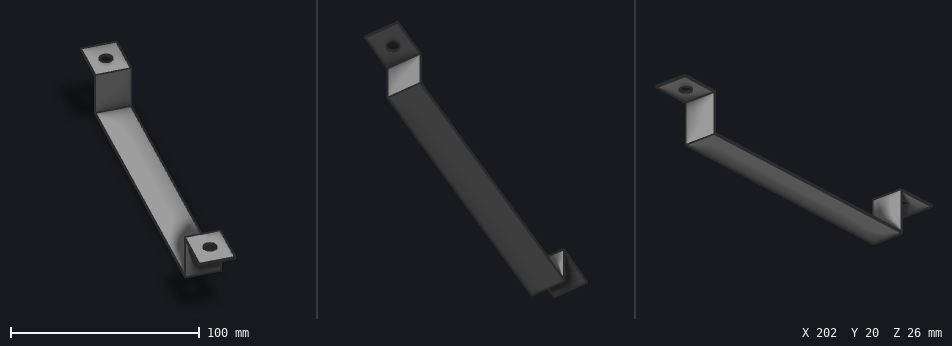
import cadquery as cq

overall_length = 202.0
strap_width = 20.0
overall_height = 26.0
thickness = 1.0
tab_length = 25.0
hole_diameter = 7.0
hole_inset = 12.5

half_length = overall_length / 2
inner_half = half_length - tab_length
outer_half = inner_half + thickness
tab_underside = overall_height - thickness
hole_x = half_length - hole_inset


def make_strap():
    """Square-cornered strap of constant thickness, folded into a hat shape."""
    right_side = [
        (outer_half, 0),
        (outer_half, tab_underside),
        (half_length, tab_underside),
        (half_length, overall_height),
        (inner_half, overall_height),
        (inner_half, thickness),
    ]
    left_side = [(-x, z) for x, z in reversed(right_side)]
    return (
        cq.Workplane("XZ")
        .polyline(right_side + left_side)
        .close()
        .extrude(strap_width / 2, both=True)
    )


def drill_tab_holes(strap):
    """Cut one through hole in each mounting tab."""
    drills = (
        cq.Workplane("XY", origin=(0, 0, tab_underside))
        .pushPoints([(-hole_x, 0), (hole_x, 0)])
        .circle(hole_diameter / 2)
        .extrude(thickness)
    )
    return strap.cut(drills)


result = drill_tab_holes(make_strap())